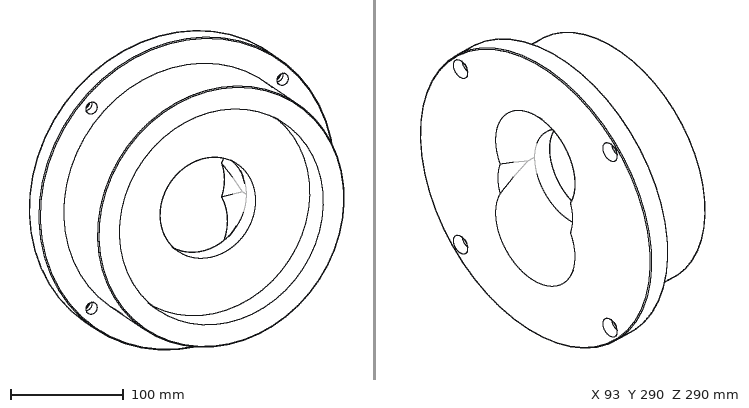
import cadquery as cq

flange_diameter = 290.0
flange_thickness = 22.0
boss_diameter = 242.0
total_length = 93.0
edge_chamfer = 1.0

inlet_diameter = 99.5
inlet_offset = 38.9
bore_diameter = 93.6
merge_depth = 46.0

recess_diameter = 200.0
recess_floor = 65.0

bolt_circle_diameter = 265.0
screw_hole_diameter = 11.0
counterbore_diameter = 18.0
counterbore_depth = 11.0
screw_count = 4
first_screw_angle = 45.0
full_turn = 360.0


def cross_section(position, height=0):
    """Workplane across the X axis, with its local x direction along Z."""
    return cq.Workplane(cq.Plane(origin=(position, 0, height), xDir=(0, 0, 1), normal=(1, 0, 0)))


def disc(diameter, start, end):
    """Cylinder on the X axis between two X positions."""
    return cross_section(start).circle(diameter / 2).extrude(end - start)


def make_body():
    flange = disc(flange_diameter, 0, flange_thickness).edges().chamfer(edge_chamfer)
    boss = disc(boss_diameter, 0, total_length).faces(">X").edges().chamfer(edge_chamfer)
    return flange.union(boss)


def inclined_passage(inlet_height):
    """Passage from an inlet at the given height to the central bore."""
    return (
        cross_section(0, inlet_height)
        .circle(inlet_diameter / 2)
        .workplane(offset=merge_depth)
        .center(-inlet_height, 0)
        .circle(bore_diameter / 2)
        .loft(ruled=True)
    )


def cut_passages(body):
    body = body.cut(disc(recess_diameter, recess_floor, total_length))
    for side in (1, -1):
        body = body.cut(inclined_passage(side * inlet_offset))
    return body.cut(disc(bore_diameter, 0, recess_floor))


def cut_screw_holes(body):
    def at_screws():
        return cross_section(0).polarArray(
            bolt_circle_diameter / 2, first_screw_angle, full_turn, screw_count
        )

    holes = at_screws().circle(screw_hole_diameter / 2).extrude(flange_thickness)
    counterbores = at_screws().circle(counterbore_diameter / 2).extrude(counterbore_depth)
    return body.cut(holes).cut(counterbores)


result = cut_screw_holes(cut_passages(make_body()))